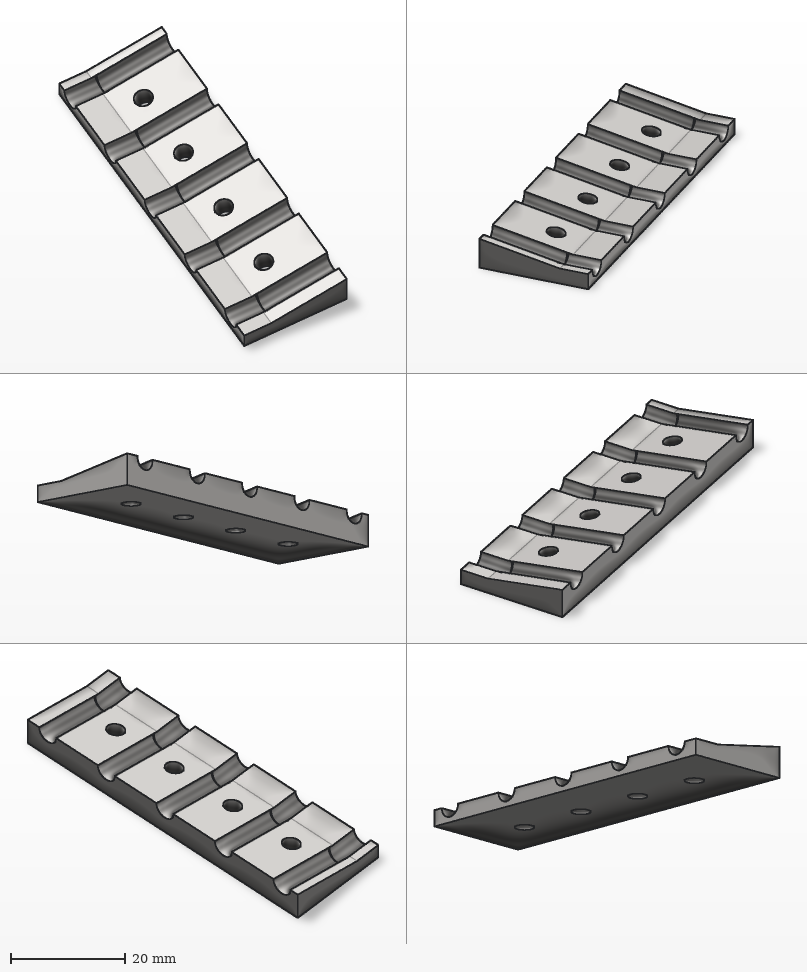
import cadquery as cq
import math

length = 64.6
depth = 20.8
front_height = 3.0
back_height = 5.7
slope_angle = 10.0
slope_tangent = math.tan(math.radians(slope_angle))
bend_y = depth - (back_height - front_height) / slope_tangent

groove_count = 5
pitch = 14.0
first_groove_x = 3.8
groove_radius = 2.0
groove_floor = 1.0
groove_bend_y = 6.6

hole_diameter = 3.4
hole_y = 10.8

overrun = 5.0


def make_body():
    profile = [
        (0, 0),
        (depth, 0),
        (depth, back_height),
        (bend_y, front_height),
        (0, front_height),
    ]
    return cq.Workplane("YZ").polyline(profile).close().extrude(length)


def groove_section(run):
    """U-shaped cutter along +Y, open at the top, with its floor on the local origin."""
    top = groove_radius + overrun
    return (
        cq.Workplane("XZ")
        .moveTo(-groove_radius, top)
        .lineTo(-groove_radius, groove_radius)
        .threePointArc((0, 0), (groove_radius, groove_radius))
        .lineTo(groove_radius, top)
        .close()
        .extrude(-run)
    )


def groove_cutter(x):
    """Level groove at the front joined to one that climbs parallel to the ramp."""
    level = groove_section(groove_bend_y + overrun)
    level = level.translate((x, -overrun, groove_floor))
    climbing = groove_section(depth)
    climbing = climbing.rotate((0, 0, 0), (1, 0, 0), slope_angle)
    climbing = climbing.translate((x, groove_bend_y, groove_floor))
    return level.union(climbing)


def hole_cutter(x):
    """Cylinder square to the ramp, centred where its axis meets the ramp surface."""
    surface_z = front_height + (hole_y - bend_y) * slope_tangent
    reach = back_height + overrun
    cylinder = cq.Workplane("XY").circle(hole_diameter / 2).extrude(reach, both=True)
    cylinder = cylinder.rotate((0, 0, 0), (1, 0, 0), slope_angle)
    return cylinder.translate((x, hole_y, surface_z))


result = make_body()
for index in range(groove_count):
    result = result.cut(groove_cutter(first_groove_x + index * pitch))
for index in range(groove_count - 1):
    result = result.cut(hole_cutter(first_groove_x + index * pitch + pitch / 2))